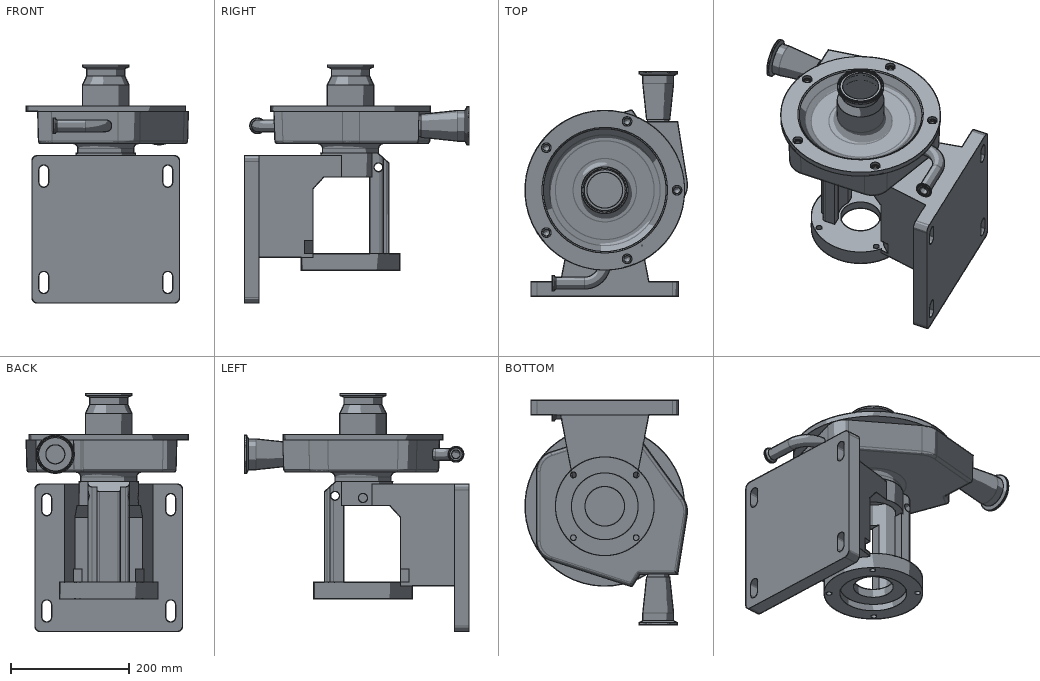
import cadquery as cq
import math

OVERCUT = 4.0

PLATE_SIZE = 250.0
PLATE_THICKNESS = 25.0
PLATE_FRONT_Y = -179.5
PLATE_REAR_Y = PLATE_FRONT_Y + PLATE_THICKNESS
PLATE_CORNER = 10.0
PLATE_SLOT_LENGTH = 37.0
PLATE_SLOT_WIDTH = 16.0
PLATE_SLOT_SPACING_X = 210.0
PLATE_SLOT_SPACING_Z = 180.0

CARRIER_RADIUS = 50.5
CARRIER_BOTTOM = 213.5
CARRIER_TOP = 254.0
CARRIER_BORE_RADIUS = 38.0
CARRIER_HOLE_RADIUS = 7.5
CARRIER_HOLE_Z = 226.5
WEB_WIDTH_AT_PLATE = 149.3
WEB_TIP_Y = -15.5
WEB_FRONT_Y = -63.5
WEB_BOTTOM = 77.5
WEB_CHAMFER_DEPTH = 18.0
WEB_CHAMFER_HEIGHT = 19.8
WEB_NOTCH_HEIGHT = 22.0
WEB_NOTCH_DEPTH = 14.5
MOTOR_RING_RADIUS = 83.5
MOTOR_RING_BORE_RADIUS = 33.5
MOTOR_RING_LIP = 15.7
MOTOR_SPIGOT_RADIUS = 56.5
MOTOR_RING_BOTTOM = 55.5
MOTOR_RING_TOP = 84.0
MOTOR_BOLT_CIRCLE_RADIUS = 75.0
MOTOR_BOLT_RADIUS = 5.0
LEG_FRONT_Y = 32.3
LEG_HALF_WIDTH = 35.0
LEG_STEP_Y = 56.0
LEG_CORNER = 6.5
LEG_RIB_HALF_WIDTH = 20.0
LEG_RIB_Y = 65.5
LEG_RIB_CORNER = 4.5
LEG_BEVEL_Y = 46.5
LEG_BEVEL_DROP = 17.0
LEG_HOLE_RADIUS = 7.3
LEG_HOLE_Y = 47.2
LEG_HOLE_Z = 230.0

HUB_RADIUS = 47.5
HUB_FLARE = 8.0

CASING_APOTHEM = 115.5
CASING_CORNER = 33.5
CASING_BOTTOM = 270.0
CASING_EDGE = 5.0
CASING_DRAFT = 1.5
CASING_SIDES = 5
SIDE_ANGLE = 360 / CASING_SIDES
VOLUTE_CORNER = 38.5
VOLUTE_CORNER_X = 142.0
TONGUE_X = 46.0
TONGUE_CORNER = 3.2
TONGUE_FOOT_X = 59.5
OUTLET_FACE_Y = 116.0
OUTLET_FACE_RIGHT_X = 123.5

LID_RADIUS = 135.0
LID_BOTTOM = 324.5
LID_TOP = 334.0
LID_BOLT_CIRCLE_RADIUS = 122.3
LID_BOLT_HEAD_RADIUS = 8.0
LID_BOLT_HEAD_DEPTH = 6.0
LID_BOLT_RADIUS = 5.5
LID_BOLT_TIP = 5.5
DISH_DEPTH = 17.0
DISH_FLOOR_RADIUS = 83.5
DISH_FILLET = 13.7
DISH_RIM_WIDTH = 2.5
DISH_RIM_DROP = 1.2
DISH_WALL_ANGLE = math.radians(48)
NECK_FILLET = 14.0

INLET_RADIUS = 39.5
INLET_CONE_BOTTOM = 369.2
INLET_CONE_TOP = 384.5
INLET_TIP_RADIUS = 32.3
INLET_FERRULE_RADIUS = 39.0
INLET_BORE_RADIUS = 30.3
INLET_TOP = 403.5

PORT_Z = 300.2
OUTLET_X = 90.5
OUTLET_END_Y = 200.5
OUTLET_STRAIGHT_Y = 180.8
OUTLET_NECK_Y = 119.5
OUTLET_ROOT_DEPTH = 4.0
OUTLET_RADIUS = 26.2
OUTLET_ROOT_RADIUS = 19.8
OUTLET_NECK_RADIUS = 18.0
OUTLET_FERRULE_RADIUS = 32.3
OUTLET_BORE_RADIUS = 16.0

DRAIN_RADIUS = 10.0
DRAIN_BORE_RADIUS = 7.3
DRAIN_BEND_RADIUS = 34.5
DRAIN_RUN_Y = -157.5
DRAIN_END_X = -89.5
DRAIN_ROOT_Y = -113.0
DRAIN_FERRULE_RADIUS = 13.5

FERRULE_LIP = 3.5
FERRULE_CONE = 3.2
GROOVE_WIDTH = 2.0
GROOVE_DEPTH = 1.2


def cylinder(radius, bottom, top):
    return cq.Workplane("XY").workplane(offset=bottom).circle(radius).extrude(top - bottom)


def round_upright_edge(body, point, radius):
    nearest = cq.selectors.NearestToPointSelector(point)
    return body.edges("not #Z").edges(nearest).fillet(radius)


def ferrule_points(lip_radius, pipe_radius, end):
    """Outer (radius, height) points of a ferrule, from its pipe side to its end face."""
    lip_bottom = end - FERRULE_LIP
    return [
        (pipe_radius, lip_bottom - FERRULE_CONE),
        (lip_radius, lip_bottom),
        (lip_radius, end),
    ]


def gasket_groove(lip_radius, pipe_radius, end):
    """Ring cut into the end face of a ferrule standing along Z."""
    middle = (lip_radius + pipe_radius) / 2
    ring = cylinder(middle + GROOVE_WIDTH / 2, end - GROOVE_DEPTH, end + OVERCUT)
    return ring.cut(cylinder(middle - GROOVE_WIDTH / 2, end - GROOVE_DEPTH, end + OVERCUT))


def make_plate():
    center_z = PLATE_SIZE / 2
    plate = (
        cq.Workplane("XY")
        .box(PLATE_SIZE, PLATE_THICKNESS, PLATE_SIZE)
        .edges("|Y")
        .fillet(PLATE_CORNER)
        .faces("<Y")
        .workplane()
        .rarray(PLATE_SLOT_SPACING_X, PLATE_SLOT_SPACING_Z, 2, 2)
        .slot2D(PLATE_SLOT_LENGTH, PLATE_SLOT_WIDTH, 90)
        .cutThruAll()
    )
    return plate.translate((0, (PLATE_FRONT_Y + PLATE_REAR_Y) / 2, center_z))


def make_web():
    """Tapered block joining the plate to the carrier ring, cleared for the motor."""
    tip_half = math.sqrt(CARRIER_RADIUS**2 - WEB_TIP_Y**2)
    plate_half = WEB_WIDTH_AT_PLATE / 2
    taper = (
        cq.Workplane("XY")
        .polyline([
            (-plate_half, PLATE_REAR_Y),
            (plate_half, PLATE_REAR_Y),
            (tip_half, WEB_TIP_Y),
            (-tip_half, WEB_TIP_Y),
        ])
        .close()
        .extrude(PLATE_SIZE)
    )
    profile = (
        cq.Workplane("YZ")
        .polyline([
            (PLATE_REAR_Y, WEB_BOTTOM),
            (WEB_FRONT_Y, WEB_BOTTOM),
            (WEB_FRONT_Y, CARRIER_BOTTOM - WEB_CHAMFER_HEIGHT),
            (WEB_FRONT_Y + WEB_CHAMFER_DEPTH, CARRIER_BOTTOM),
            (WEB_TIP_Y, CARRIER_BOTTOM),
            (WEB_TIP_Y, PLATE_SIZE),
            (PLATE_REAR_Y, PLATE_SIZE),
        ])
        .close()
        .extrude(plate_half, both=True)
    )
    web = taper.intersect(profile)

    side_slope = (plate_half - tip_half) / (WEB_TIP_Y - PLATE_REAR_Y)
    notch_y = WEB_FRONT_Y - WEB_NOTCH_DEPTH
    notch_x = tip_half + side_slope * (WEB_TIP_Y - notch_y)
    reach = WEB_NOTCH_DEPTH + OVERCUT
    notch = (
        cq.Workplane("XY")
        .workplane(offset=MOTOR_RING_TOP)
        .polyline([
            (notch_x + OVERCUT, notch_y - OVERCUT),
            (notch_x + OVERCUT, notch_y + reach),
            (notch_x - reach, notch_y + reach),
        ])
        .close()
        .extrude(WEB_NOTCH_HEIGHT)
    )
    return web.cut(notch).cut(notch.mirror("YZ"))


def make_leg():
    """Rear leg with a rounded rib, hollowed to the carrier bore."""
    def slab(half_width, rear_y, corner):
        block = (
            cq.Workplane("XY")
            .workplane(offset=MOTOR_RING_TOP)
            .center(0, (LEG_FRONT_Y + rear_y) / 2)
            .rect(2 * half_width, rear_y - LEG_FRONT_Y)
            .extrude(CARRIER_TOP - MOTOR_RING_TOP)
        )
        return block.edges("|Z and >Y").fillet(corner)

    leg = slab(LEG_HALF_WIDTH, LEG_STEP_Y, LEG_CORNER)
    leg = leg.union(slab(LEG_RIB_HALF_WIDTH, LEG_RIB_Y, LEG_RIB_CORNER))
    bore = cylinder(CARRIER_BORE_RADIUS, MOTOR_RING_TOP, CARRIER_TOP)
    return leg.cut(bore)


def make_bracket():
    carrier = cylinder(CARRIER_RADIUS, CARRIER_BOTTOM, CARRIER_TOP)
    motor_ring = cylinder(MOTOR_RING_RADIUS, MOTOR_RING_BOTTOM, MOTOR_RING_TOP)
    bolt_spacing = MOTOR_BOLT_CIRCLE_RADIUS * math.sqrt(2)
    motor_ring = (
        motor_ring.faces(">Z")
        .workplane()
        .rarray(bolt_spacing, bolt_spacing, 2, 2)
        .circle(MOTOR_BOLT_RADIUS)
        .cutThruAll()
    )
    side_hole = (
        cq.Workplane("YZ")
        .center(0, CARRIER_HOLE_Z)
        .circle(CARRIER_HOLE_RADIUS)
        .extrude(-CARRIER_RADIUS)
    )
    bevel = (
        cq.Workplane("YZ")
        .polyline([
            (LEG_BEVEL_Y, CARRIER_TOP),
            (LEG_RIB_Y, CARRIER_TOP - LEG_BEVEL_DROP),
            (LEG_RIB_Y, CARRIER_TOP),
        ])
        .close()
        .extrude(LEG_HALF_WIDTH, both=True)
    )
    leg_hole = (
        cq.Workplane("YZ")
        .center(LEG_HOLE_Y, LEG_HOLE_Z)
        .circle(LEG_HOLE_RADIUS)
        .extrude(LEG_HALF_WIDTH, both=True)
    )
    bracket = make_plate().union(make_web()).union(carrier).union(motor_ring)
    bracket = bracket.cut(cylinder(CARRIER_BORE_RADIUS, CARRIER_BOTTOM, CARRIER_TOP))
    spigot_top = MOTOR_RING_TOP - MOTOR_RING_LIP
    bracket = bracket.cut(cylinder(MOTOR_SPIGOT_RADIUS, MOTOR_RING_BOTTOM, spigot_top))
    bracket = bracket.cut(cylinder(MOTOR_RING_BORE_RADIUS, MOTOR_RING_BOTTOM, MOTOR_RING_TOP))
    return bracket.union(make_leg()).cut(side_hole).cut(leg_hole).cut(bevel)


def make_hub():
    flare_z = CASING_BOTTOM - HUB_FLARE
    mid = HUB_FLARE * (1 - math.sqrt(0.5))
    return (
        cq.Workplane("XZ")
        .moveTo(0, CARRIER_TOP)
        .lineTo(HUB_RADIUS, CARRIER_TOP)
        .lineTo(HUB_RADIUS, flare_z)
        .threePointArc(
            (HUB_RADIUS + mid, CASING_BOTTOM - mid),
            (HUB_RADIUS + HUB_FLARE, CASING_BOTTOM),
        )
        .lineTo(0, CASING_BOTTOM)
        .close()
        .revolve(360, (0, 0), (0, 1))
    )


def make_casing():
    half_angle = math.radians(SIDE_ANGLE / 2)
    corner_radius = CASING_APOTHEM / math.cos(half_angle)

    def corner(index):
        angle = math.radians(index * SIDE_ANGLE)
        return (corner_radius * math.cos(angle), corner_radius * math.sin(angle))

    rear_angle = math.radians(1.5 * SIDE_ANGLE)
    tongue_y = (CASING_APOTHEM - TONGUE_X * math.cos(rear_angle)) / math.sin(rear_angle)
    volute_y = (VOLUTE_CORNER_X * math.cos(half_angle) - CASING_APOTHEM) / math.sin(half_angle)
    tongue = (TONGUE_X, tongue_y)
    volute = (VOLUTE_CORNER_X, volute_y)
    plain_corners = [corner(index) for index in (2, 3, 4)]
    outline = [
        tongue,
        *plain_corners,
        volute,
        (OUTLET_FACE_RIGHT_X, OUTLET_FACE_Y),
        (TONGUE_FOOT_X, OUTLET_FACE_Y),
    ]
    casing = (
        cq.Workplane("XY")
        .workplane(offset=LID_BOTTOM)
        .polyline(outline)
        .close()
        .extrude(CASING_BOTTOM - LID_BOTTOM, taper=CASING_DRAFT)
    )
    middle_z = (CASING_BOTTOM + LID_BOTTOM) / 2
    for x, y in plain_corners:
        casing = round_upright_edge(casing, (x, y, middle_z), CASING_CORNER)
    casing = round_upright_edge(casing, (*volute, middle_z), VOLUTE_CORNER)
    casing = round_upright_edge(casing, (*tongue, middle_z), TONGUE_CORNER)
    return casing.faces("<Z").edges().fillet(CASING_EDGE)


def make_dish():
    """Ring-shaped recess of the lid, around the inlet neck."""
    floor = LID_TOP - DISH_DEPTH
    neck_mid = NECK_FILLET * (1 - math.sqrt(0.5))
    half_wall = DISH_WALL_ANGLE / 2

    def foot_arc(angle):
        return (
            DISH_FLOOR_RADIUS + DISH_FILLET * math.sin(angle),
            floor + DISH_FILLET * (1 - math.cos(angle)),
        )

    foot_radius, foot_z = foot_arc(DISH_WALL_ANGLE)
    wall_top = LID_TOP - DISH_RIM_DROP
    wall_radius = foot_radius + (wall_top - foot_z) / math.tan(DISH_WALL_ANGLE)
    return (
        cq.Workplane("XZ")
        .moveTo(INLET_RADIUS, LID_TOP)
        .lineTo(INLET_RADIUS, floor + NECK_FILLET)
        .threePointArc(
            (INLET_RADIUS + neck_mid, floor + neck_mid),
            (INLET_RADIUS + NECK_FILLET, floor),
        )
        .lineTo(DISH_FLOOR_RADIUS, floor)
        .threePointArc(foot_arc(half_wall), (foot_radius, foot_z))
        .lineTo(wall_radius, wall_top)
        .lineTo(wall_radius + DISH_RIM_WIDTH, LID_TOP)
        .close()
        .revolve(360, (0, 0), (0, 1))
    )


def make_lid_bolt_holes():
    """Counterbored holes with conical ends, one above each casing corner."""
    bolt = (
        cq.Workplane("XZ")
        .polyline([
            (0, LID_BOTTOM - LID_BOLT_TIP),
            (LID_BOLT_RADIUS, LID_BOTTOM),
            (LID_BOLT_RADIUS, LID_TOP),
            (0, LID_TOP),
        ])
        .close()
        .revolve(360, (0, 0), (0, 1))
    )
    head = cylinder(LID_BOLT_HEAD_RADIUS, LID_TOP - LID_BOLT_HEAD_DEPTH, LID_TOP)
    hole = bolt.union(head).translate((LID_BOLT_CIRCLE_RADIUS, 0, 0))
    holes = hole
    for index in range(1, CASING_SIDES):
        holes = holes.union(hole.rotate((0, 0, 0), (0, 0, 1), index * SIDE_ANGLE))
    return holes


def make_inlet():
    outline = [
        (0, LID_TOP),
        (INLET_RADIUS, LID_TOP),
        (INLET_RADIUS, INLET_CONE_BOTTOM),
        (INLET_TIP_RADIUS, INLET_CONE_TOP),
        *ferrule_points(INLET_FERRULE_RADIUS, INLET_TIP_RADIUS, INLET_TOP),
        (0, INLET_TOP),
    ]
    inlet = cq.Workplane("XZ").polyline(outline).close().revolve(360, (0, 0), (0, 1))
    return inlet.cut(gasket_groove(INLET_FERRULE_RADIUS, INLET_TIP_RADIUS, INLET_TOP))


def make_outlet():
    """Outlet built along Z from its root inside the drafted casing wall, then laid along +Y."""
    root_y = OUTLET_FACE_Y - OUTLET_ROOT_DEPTH
    length = OUTLET_END_Y - root_y
    neck = OUTLET_NECK_Y - root_y
    outline = [
        (0, 0),
        (OUTLET_NECK_RADIUS, 0),
        (OUTLET_NECK_RADIUS, neck),
        (OUTLET_ROOT_RADIUS, neck),
        (OUTLET_RADIUS, OUTLET_STRAIGHT_Y - root_y),
        *ferrule_points(OUTLET_FERRULE_RADIUS, OUTLET_RADIUS, length),
        (0, length),
    ]
    outlet = cq.Workplane("XZ").polyline(outline).close().revolve(360, (0, 0), (0, 1))
    outlet = outlet.cut(gasket_groove(OUTLET_FERRULE_RADIUS, OUTLET_RADIUS, length))
    outlet = outlet.cut(cylinder(OUTLET_BORE_RADIUS, 0, length))
    return outlet.rotate((0, 0, 0), (1, 0, 0), -90).translate((OUTLET_X, root_y, PORT_Z))


def make_drain_rod(radius):
    """Round rod along the drain path, from inside the casing wall to the ferrule end."""
    bend_start_y = DRAIN_RUN_Y + DRAIN_BEND_RADIUS
    bend_mid = DRAIN_BEND_RADIUS * (1 - math.sqrt(0.5))
    path = (
        cq.Workplane("XY", origin=(0, 0, PORT_Z))
        .moveTo(0, DRAIN_ROOT_Y)
        .lineTo(0, bend_start_y)
        .threePointArc((-bend_mid, DRAIN_RUN_Y + bend_mid), (-DRAIN_BEND_RADIUS, DRAIN_RUN_Y))
        .lineTo(DRAIN_END_X, DRAIN_RUN_Y)
    )
    return cq.Workplane("XZ", origin=(0, DRAIN_ROOT_Y, PORT_Z)).circle(radius).sweep(path)


def make_drain():
    base = -FERRULE_LIP - FERRULE_CONE
    outline = [
        (0, base),
        *ferrule_points(DRAIN_FERRULE_RADIUS, DRAIN_RADIUS, 0),
        (0, 0),
    ]
    ferrule = cq.Workplane("XZ").polyline(outline).close().revolve(360, (0, 0), (0, 1))
    ferrule = ferrule.cut(gasket_groove(DRAIN_FERRULE_RADIUS, DRAIN_RADIUS, 0))
    ferrule = ferrule.rotate((0, 0, 0), (0, 1, 0), -90).translate((DRAIN_END_X, DRAIN_RUN_Y, PORT_Z))
    return make_drain_rod(DRAIN_RADIUS).union(ferrule)


def make_pump():
    lid = cylinder(LID_RADIUS, LID_BOTTOM, LID_TOP)
    pump = make_casing().union(lid).cut(make_dish()).cut(make_lid_bolt_holes())
    pump = pump.union(make_hub()).union(make_inlet())
    pump = pump.cut(cylinder(INLET_BORE_RADIUS, PORT_Z, INLET_TOP))
    pump = pump.union(make_outlet()).union(make_drain())
    return pump.cut(make_drain_rod(DRAIN_BORE_RADIUS))


result = make_pump().union(make_bracket())